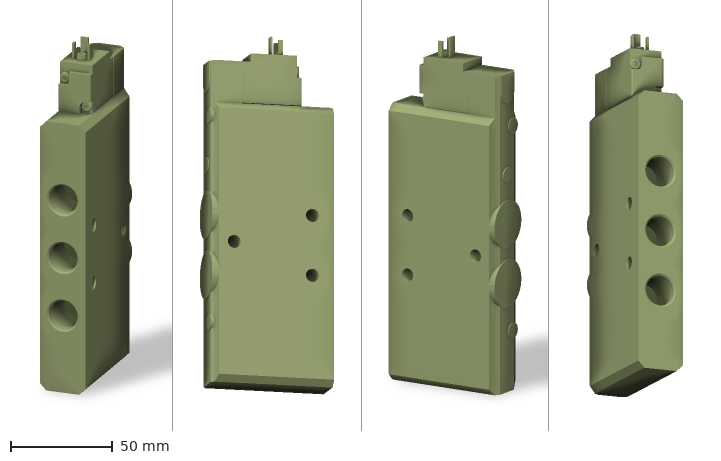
import cadquery as cq


overall_height = 175.5
width = 24.0
cap_height = 20.0
block_height = 100.0
block_top = cap_height + block_height
cap_top = block_top + cap_height
cap_chamfer = 3.3
flat_width = width - 2 * cap_chamfer

pad_projection = 0.5
depth = 62.0
ridge_y = depth - pad_projection
ridge_width = 13.0
side_depth = 58.6
cove_radius = 14.0

port_diameter = 15.0
port_chamfer = 0.9
port_depth = 21.0
port_pitch = 30.0
block_centre = cap_height + block_height / 2
mounting_hole_diameter = 6.5
front_hole_y = 11.0
rear_hole_y = 50.7

port_boss_diameter = 24.2
small_boss_diameter = 8.0
small_boss_offset = 5.0
small_boss_spacing = 79.7
cap_boss_height = 13.7
boss_root_y = 52.6
pad_width = 12.0
pad_round_height = 12.1

riser_top = cap_top + 21.0
riser_front = 45.6
coil_inset = 0.2
coil_width = flat_width - 2 * coil_inset
coil_bottom = cap_top + 0.4
coil_top = 165.3
coil_back = 41.2
coil_face = 18.0
plate_front = 15.5
plate_chamfer = 0.5

screw_x = 5.8
screw_spacing = 13.5
screw_z = (cap_top + riser_top) / 2
screw_head_diameter = 5.6
screw_head_height = 1.0
screw_rim = 0.9
socket_diameter = 2.5
socket_depth = 0.7
notch_radius = 3.0

blade_width = 4.0
blade_thickness = 1.0
earth_blade_y = 29.1
contact_y = 25.3
contact_x = 4.0
contact_width = 2.3
contact_top = 173.5
post_diameter = 5.0
post_height = 1.5
collar_diameter = 4.2
collar_height = 1.0
collar_bore = 2.5
post_bore = 2.0


def box(x0, x1, y0, y1, z0, z1):
    """Box between opposite corner coordinates."""
    return cq.Workplane("XY").box(x1 - x0, y1 - y0, z1 - z0, centered=False).translate((x0, y0, z0))


def centred_box(x_size, y0, y1, z0, z1):
    """Box centred on X = 0."""
    return box(-x_size / 2, x_size / 2, y0, y1, z0, z1)


def y_cylinder(diameter, x, z, y0, y1):
    """Cylinder along Y from y0 to y1."""
    return (
        cq.Workplane("XZ", origin=(x, y0, z))
        .circle(diameter / 2)
        .extrude(y0 - y1)
    )


def valve_column(z0, z1):
    """Length of the common valve outline between two heights."""
    return (
        cq.Workplane("XY", origin=(0, 0, z0))
        .moveTo(-width / 2, 0)
        .lineTo(width / 2, 0)
        .lineTo(width / 2, side_depth)
        .radiusArc((ridge_width / 2, ridge_y), cove_radius)
        .lineTo(-ridge_width / 2, ridge_y)
        .radiusArc((-width / 2, side_depth), cove_radius)
        .close()
        .extrude(z1 - z0)
    )


def back_boss(diameter, x, z):
    """Round boss on the coved back, rooted inside the body."""
    return y_cylinder(diameter, x, z, boss_root_y, depth)


def cap_outline(z0, z1):
    """Front outline of a cap, with both side edges of its far end (z1) chamfered."""
    chamfer_z = z1 - cap_chamfer if z1 > z0 else z1 + cap_chamfer
    half = width / 2
    half_flat = flat_width / 2
    return (
        cq.Workplane("XZ")
        .moveTo(-half, z0)
        .lineTo(half, z0)
        .lineTo(half, chamfer_z)
        .lineTo(half_flat, z1)
        .lineTo(-half_flat, z1)
        .lineTo(-half, chamfer_z)
        .close()
        .extrude(-depth)
    )


def make_bottom_cap():
    return valve_column(0, cap_height).intersect(cap_outline(cap_height, 0))


def make_valve_block():
    block = valve_column(cap_height, block_top)

    for side in (-1, 1):
        z = block_centre + side * port_pitch / 2
        port_boss = back_boss(port_boss_diameter, 0, z)
        block = block.union(port_boss.intersect(centred_box(width, 0, depth, cap_height, block_top)))
    block = block.union(back_boss(small_boss_diameter, 0, block_centre + small_boss_spacing / 2))
    block = block.union(
        back_boss(small_boss_diameter, -small_boss_offset, block_centre - small_boss_spacing / 2)
    )

    for step in (-1, 0, 1):
        z = block_centre + step * port_pitch
        block = block.cut(y_cylinder(port_diameter, 0, z, 0, port_depth))
    block = block.faces("<Y").edges("%CIRCLE").chamfer(port_chamfer)

    hole_places = [
        (front_hole_y, block_centre - port_pitch / 2),
        (front_hole_y, block_centre + port_pitch / 2),
        (rear_hole_y, block_centre),
    ]
    holes = (
        cq.Workplane("YZ", origin=(-width / 2, 0, 0))
        .pushPoints(hole_places)
        .circle(mounting_hole_diameter / 2)
        .extrude(width)
    )
    return block.cut(holes)


def make_riser():
    """Rear part of the pilot housing, with the round-ended pad on its back."""
    riser = valve_column(cap_top, riser_top).intersect(
        centred_box(flat_width, riser_front, depth, cap_top, riser_top)
    )
    pad_round_z = cap_top + pad_round_height
    pad = centred_box(pad_width, boss_root_y, depth, pad_round_z, riser_top)
    return riser.union(pad).union(back_boss(pad_width, 0, pad_round_z))


def screw_notch(side):
    """Corner cut-out in the coil plate around one screw: side -1 is upper left, +1 lower right."""
    x = side * screw_x
    z = screw_z - side * screw_spacing / 2
    x_inner = x - side * notch_radius
    z_inner = z + side * notch_radius
    x_outer = side * width / 2
    z_outer = cap_top if side > 0 else riser_top
    block = box(
        min(x_inner, x_outer), max(x_inner, x_outer),
        plate_front, coil_face,
        min(z_inner, z_outer), max(z_inner, z_outer),
    )
    inner_corner = "<X and >Z" if side > 0 else ">X and <Z"
    return block.edges("|Y").edges(inner_corner).fillet(notch_radius)


def screw_head(side):
    """Rounded screw head with a round socket."""
    x = side * screw_x
    z = screw_z - side * screw_spacing / 2
    head_front = coil_face - screw_head_height
    head = y_cylinder(screw_head_diameter, x, z, head_front, coil_face)
    head = head.faces("<Y").edges().fillet(screw_rim)
    return head.cut(y_cylinder(socket_diameter, x, z, head_front, head_front + socket_depth))


def make_coil():
    coil = centred_box(coil_width, coil_face, riser_front, coil_bottom, riser_top)
    coil = coil.union(centred_box(coil_width, coil_face, coil_back, coil_bottom, coil_top))

    plate = centred_box(coil_width, plate_front, coil_face, coil_bottom, riser_top)
    plate = plate.edges("|Z and <Y").chamfer(plate_chamfer)
    for side in (-1, 1):
        plate = plate.cut(screw_notch(side))

    coil = coil.union(plate)
    for side in (-1, 1):
        coil = coil.union(screw_head(side))
    return coil


def make_contacts():
    """Earth blade, two contact blades and the hollow post between them."""
    contacts = centred_box(
        blade_width,
        earth_blade_y - blade_thickness / 2,
        earth_blade_y + blade_thickness / 2,
        coil_top,
        overall_height,
    )
    contact_blade = centred_box(
        blade_thickness, contact_y - contact_width / 2, contact_y + contact_width / 2, coil_top, contact_top
    )
    for side in (-1, 1):
        contacts = contacts.union(contact_blade.translate((side * contact_x, 0, 0)))

    post = (
        cq.Workplane("XY", origin=(0, contact_y, coil_top))
        .circle(post_diameter / 2)
        .circle(post_bore / 2)
        .extrude(post_height)
    )
    collar = (
        cq.Workplane("XY", origin=(0, contact_y, coil_top + post_height))
        .circle(collar_diameter / 2)
        .circle(collar_bore / 2)
        .extrude(collar_height)
    )
    return contacts.union(post).union(collar)


def make_top_cap():
    """Top cap in one piece with the pilot housing, coil and contacts."""
    cap = valve_column(block_top, cap_top).intersect(cap_outline(block_top, cap_top))
    cap_boss = back_boss(small_boss_diameter, -small_boss_offset, block_top + cap_boss_height)
    return cap.union(cap_boss).union(make_riser()).union(make_coil()).union(make_contacts())


bottom_cap = make_bottom_cap()
valve_block = make_valve_block()
top_cap = make_top_cap()

result = cq.Compound.makeCompound([bottom_cap.val(), valve_block.val(), top_cap.val()])